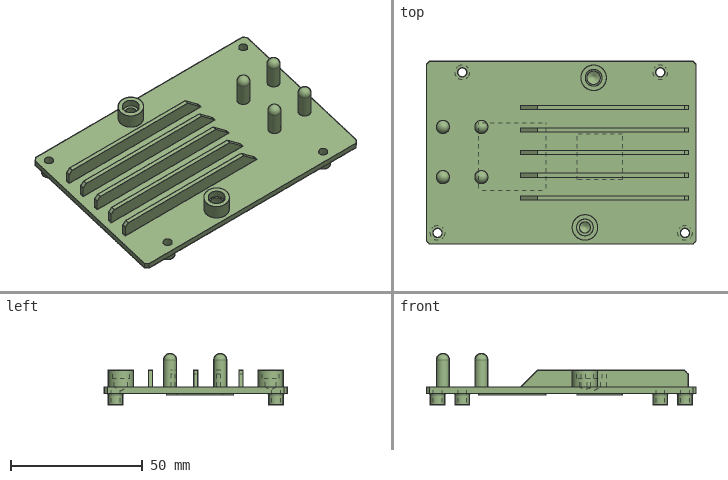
import cadquery as cq
import math

plate_length = 102.54
plate_width = 69.55
plate_thickness = 2.54
corner_chamfer = 1.27

foot_diameter = 5.58
foot_height = 4.27
foot_root_fillet = 0.5
mount_hole_diameter = 3.4
mount_y = 30.48
rear_mount_x = 37.6
front_mount_x = 46.99
mount_points = [
    (-rear_mount_x, mount_y),
    (rear_mount_x, mount_y),
    (-front_mount_x, -mount_y),
    (front_mount_x, -mount_y),
]

pin_diameter = 5.0
pin_height = 12.7
pin_spacing_x = 14.6
pin_spacing_y = 19.05
first_pin_x = -44.95
first_pin_y = -9.3

fin_count = 5
fin_pitch = 8.6
fin_thickness = 1.57
fin_height = 6.35
fin_start_x = -15.4
fin_end_x = 48.26
fin_end_chamfer = 1.5

boss_diameter = 9.7
boss_height = fin_height
counterbore_diameter = 6.35
counterbore_depth = 3.1
drill_floor_z = plate_thickness
drill_tip_angle = 118.0
boss_offset_y = 28.42
rear_boss_center = (12.3, boss_offset_y)
rear_drill_diameter = 5.1
front_boss_center = (9.0, -boss_offset_y)
front_drill_diameter = 4.2

pad_height = 0.64
pad_center_y = -1.6
large_pad_side = 25.6
large_pad_center_x = -18.6
small_pad_side = 17.3
small_pad_center_x = 14.6


def make_plate():
    plate = cq.Workplane("XY").box(
        plate_length, plate_width, plate_thickness, centered=(True, True, False)
    )
    return plate.edges("|Z").chamfer(corner_chamfer)


def add_feet(body):
    feet = (
        cq.Workplane("XY")
        .pushPoints(mount_points)
        .circle(foot_diameter / 2)
        .extrude(-foot_height)
    )
    body = body.union(feet)
    foot_roots = body.faces(cq.selectors.NearestToPointSelector((0, 0, 0))).edges("%CIRCLE")
    return foot_roots.fillet(foot_root_fillet)


def cut_mount_holes(body):
    holes = (
        cq.Workplane("XY", origin=(0, 0, -foot_height))
        .pushPoints(mount_points)
        .circle(mount_hole_diameter / 2)
        .extrude(foot_height + plate_thickness)
    )
    return body.cut(holes)


def make_pin(x, y):
    """Cylinder with a hemispherical nose."""
    radius = pin_diameter / 2
    shank_height = pin_height - radius
    profile = (
        cq.Workplane("XZ")
        .lineTo(radius, 0)
        .lineTo(radius, shank_height)
        .radiusArc((0, pin_height), -radius)
        .close()
    )
    return profile.revolve(360, (0, 0), (0, 1)).translate((x, y, plate_thickness))


def add_pins(body):
    for column in range(2):
        for row in range(2):
            pin = make_pin(first_pin_x + column * pin_spacing_x, first_pin_y + row * pin_spacing_y)
            body = body.union(pin)
    return body


def make_fin(center_y):
    """Fin with a 45 degree slope over its full height at the -X end."""
    profile = cq.Workplane("XZ").polyline(
        [
            (fin_start_x, 0),
            (fin_start_x + fin_height, fin_height),
            (fin_end_x - fin_end_chamfer, fin_height),
            (fin_end_x, fin_height - fin_end_chamfer),
            (fin_end_x, 0),
        ]
    )
    fin = profile.close().extrude(fin_thickness / 2, both=True)
    return fin.translate((0, center_y, plate_thickness))


def add_fins(body):
    for index in range(fin_count):
        body = body.union(make_fin((index - (fin_count - 1) / 2) * fin_pitch))
    return body


def add_boss(body, center, drill_diameter):
    boss_top = plate_thickness + boss_height
    boss = (
        cq.Workplane("XY", origin=(*center, plate_thickness))
        .circle(boss_diameter / 2)
        .extrude(boss_height)
    )
    counterbore_radius = counterbore_diameter / 2
    counterbore_floor = boss_top - counterbore_depth
    drill_radius = drill_diameter / 2
    tip_depth = drill_radius / math.tan(math.radians(drill_tip_angle / 2))
    bore_profile = cq.Workplane("XZ").polyline(
        [
            (0, boss_top),
            (counterbore_radius, boss_top),
            (counterbore_radius, counterbore_floor),
            (drill_radius, counterbore_floor),
            (drill_radius, drill_floor_z),
            (0, drill_floor_z - tip_depth),
        ]
    )
    bore = bore_profile.close().revolve(360, (0, 0), (0, 1)).translate((*center, 0))
    return body.union(boss).cut(bore)


def add_pad(body, side, center_x):
    pad = (
        cq.Workplane("XY", origin=(center_x, pad_center_y, 0))
        .rect(side, side)
        .extrude(-pad_height)
    )
    return body.union(pad)


result = make_plate()
result = add_feet(result)
result = cut_mount_holes(result)
result = add_pins(result)
result = add_fins(result)
result = add_boss(result, rear_boss_center, rear_drill_diameter)
result = add_boss(result, front_boss_center, front_drill_diameter)
result = add_pad(result, large_pad_side, large_pad_center_x)
result = add_pad(result, small_pad_side, small_pad_center_x)